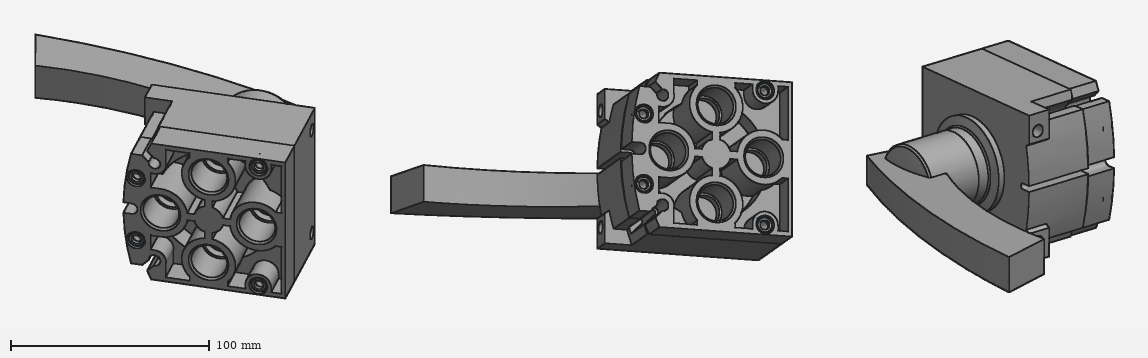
import cadquery as cq
import math


block_right = 40.1
block_half_height = 40.0
front_depth = 17.2
block_back = 55.8
joint_overlap = 1.7

side_corner_x = -40.6
shelf_z = 32.2
notch_foot_x = -33.5
front_side_x = -44.7
front_notch_x = -30.0
housing_side_x = -45.2
housing_notch_x = -31.0

port_offset = 25.1
port_dia = 18.7
port_seat_dia = 16.4
port_mouth_dia = 20.9
port_depth = 20.2
port_seat_depth = 25.3
boss_dia = 28.2
post_dia = 15.5
web_half_width = 2.0
outer_web_half_width = 10.0
pocket_top = 37.5
pocket_right = 38.1
pocket_left = -30.3
pocket_corner_left = -22.5
pocket_depth = 14.2
well_dia = 62.7
well_depth = 27.0

spigot_dia = 72.8
spigot_end = 30.3

left_screw_x, left_screw_z = -38.1, 18.2
right_screw_x, right_screw_z = 26.0, 34.7
screw_boss_dia = 13.5
counterbore_dia = 9.5
counterbore_depth = 5.5
head_dia = 8.5
head_rim_dia = 7.5
head_recess = 0.8
socket_dia = 4.9
socket_depth = 2.5

corner_slot_x, corner_slot_z = -28.3, 28.5
front_slot_neck = 3.9
slot_neck_length = 10.1
slot_wall_radius = 6.0
front_slot_dia = 6.0
housing_corner_slot_end = 39.0
side_slot_x = -40.3
housing_slot_width = 3.2

ear_left = -45.2
ear_front = 42.8
ear_low_z = 24.3
ear_root_x = -42.2
ear_root_z = 22.3
ear_hole_dia = 6.5
ear_hole_y = 50.0
ear_hole_z = 30.2

collar_dia = 51.6
collar_foot_dia = 51.0
collar_rim = 59.7
collar_top = 61.0
collar_top_dia = 43.2
neck_top = 68.0
neck_fillet = 0.8

hub_dia = 40.0
hub_shoulder = 97.3
hub_top_dia = 38.1
hub_top = 98.5
dome_top = 101.0
handle_tip = (-128.5, 136.5)
handle_tip_half_width = 9.6
handle_tail_half_width = 8.0
tail_corner = (26.3, 103.2)
tail_foot_x = 22.0
tail_foot_y = 78.5
upper_arc_middle = (-51.0, 127.3)
lower_tip = (-120.5, 107.2)
lower_arc_middle = (-68.6, 104.4)
lower_arc_end = (-18.9, 88.0)

PORTS = [(-port_offset, 0), (port_offset, 0), (0, -port_offset), (0, port_offset)]
LEFT_SCREWS = [(left_screw_x, side * left_screw_z) for side in (-1, 1)]
RIGHT_SCREWS = [(right_screw_x, side * right_screw_z) for side in (-1, 1)]


def plane_at(y):
    """Sketch plane at depth y with local axes X and Z and its normal towards -Y."""
    return cq.Workplane(cq.Plane(origin=(0, y, 0), xDir=(1, 0, 0), normal=(0, -1, 0)))


def disc(x, z, diameter, start, end):
    """Cylinder along Y between the depths start and end."""
    return plane_at(start).center(x, z).circle(diameter / 2).extrude(start - end)


def slab(x0, x1, z0, z1, start, end):
    """Box between the depths start and end."""
    outline = plane_at(start).center((x0 + x1) / 2, (z0 + z1) / 2).rect(x1 - x0, z1 - z0)
    return outline.extrude(start - end)


def block(side_x, notch_x, start, end):
    """Block with a bowed left side and a notch at each left corner."""
    return (
        plane_at(start)
        .moveTo(block_right, -block_half_height)
        .lineTo(block_right, block_half_height)
        .lineTo(notch_x, block_half_height)
        .lineTo(notch_foot_x, shelf_z)
        .lineTo(side_corner_x, shelf_z)
        .threePointArc((side_x, 0), (side_corner_x, -shelf_z))
        .lineTo(notch_foot_x, -shelf_z)
        .lineTo(notch_x, -block_half_height)
        .close()
        .extrude(start - end)
    )


def corner_slots(diameter, neck_width, start, end):
    """Round-ended slots that run in at 45 degrees from both left corner notches."""
    slots = cq.Workplane()
    for side in (-1, 1):
        neck = (
            plane_at(start)
            .center(corner_slot_x, side * corner_slot_z)
            .transformed(rotate=(0, 0, -side * 45))
            .center(-slot_neck_length / 2, 0)
            .rect(slot_neck_length, neck_width)
            .extrude(start - end)
        )
        seat = disc(corner_slot_x, side * corner_slot_z, diameter, start, end)
        slots = slots.add(seat.union(neck))
    return slots.combine()


def side_slot(width, start, end):
    """Round-ended slot in the middle of the bowed left side."""
    mouth = slab(housing_side_x - width, side_slot_x, -width / 2, width / 2, start, end)
    return disc(side_slot_x, 0, width, start, end).union(mouth)


def webs(depth):
    """Thin webs join the post to the port bosses, broad webs join the bosses to the outer walls."""
    thin, broad, tangent = web_half_width, outer_web_half_width, boss_dia / 2
    ribs = slab(-port_offset, port_offset, -thin, thin, 0, depth)
    ribs = ribs.union(slab(-thin, thin, -port_offset, port_offset, 0, depth))
    ribs = ribs.union(slab(pocket_left, -port_offset, -tangent, tangent, 0, depth))
    ribs = ribs.union(slab(port_offset, pocket_right, -broad, broad, 0, depth))
    for side in (-1, 1):
        lowest, highest = sorted((side * port_offset, side * pocket_top))
        ribs = ribs.union(slab(-broad, broad, lowest, highest, 0, depth))
    return ribs


def pocket_area(depth):
    """Hollow between the ports, from the front face to the given depth."""
    tall = slab(pocket_corner_left, pocket_right, -pocket_top, pocket_top, 0, depth)
    slot_wall_z = corner_slot_z - slot_wall_radius
    low = slab(pocket_left, 0, -corner_slot_z, corner_slot_z, 0, depth)
    area = tall.union(low)
    for side in (-1, 1):
        z = side * corner_slot_z
        area = area.cut(disc(corner_slot_x, z, 2 * slot_wall_radius, 0, depth))
        lowest, highest = sorted((side * slot_wall_z, z))
        area = area.cut(slab(pocket_left, corner_slot_x, lowest, highest, 0, depth))
    for x, z in PORTS:
        area = area.cut(disc(x, z, boss_dia, 0, depth))
    area = area.cut(disc(0, 0, post_dia, 0, depth))
    return area.cut(webs(depth))


def screw_bosses():
    """Round bosses for the right screws, linked straight to the outer walls."""
    bosses = cq.Workplane()
    radius = screw_boss_dia / 2
    for x, z in RIGHT_SCREWS:
        lowest, highest = sorted((z, math.copysign(pocket_top, z)))
        link = slab(x - radius, x + radius, lowest, highest, 0, pocket_depth)
        bosses = bosses.add(disc(x, z, screw_boss_dia, 0, pocket_depth).union(link))
    return bosses.combine()


def screw_recess(x, z):
    """Gap around a chamfered screw head, and the socket in it, as one cutter."""
    chamfer = (head_dia - head_rim_dia) / 2
    around = disc(x, z, counterbore_dia, 0, counterbore_depth)
    head = disc(x, z, head_dia, head_recess, counterbore_depth).faces("<Y").chamfer(chamfer)
    socket_end = head_recess + socket_depth
    socket = (
        cq.Workplane("XY")
        .moveTo(0, head_recess)
        .lineTo(socket_dia / 2, head_recess)
        .lineTo(socket_dia / 2, socket_end)
        .lineTo(0, socket_end + socket_dia / 2)
        .close()
        .revolve(360, (0, 0, 0), (0, 1, 0))
        .translate((x, 0, z))
    )
    return around.cut(head).union(socket)


def port_hole(x, z):
    """Blind stepped port with a 45 degree countersunk mouth."""
    countersink = (port_mouth_dia - port_dia) / 2
    return (
        cq.Workplane("XY")
        .lineTo(port_mouth_dia / 2, 0)
        .lineTo(port_dia / 2, countersink)
        .lineTo(port_dia / 2, port_depth)
        .lineTo(port_seat_dia / 2, port_depth)
        .lineTo(port_seat_dia / 2, port_seat_depth)
        .lineTo(0, port_seat_depth)
        .close()
        .revolve(360, (0, 0, 0), (0, 1, 0))
        .translate((x, 0, z))
    )


def make_port_block():
    body = block(front_side_x, front_notch_x, 0, front_depth)
    body = body.cut(corner_slots(front_slot_dia, front_slot_neck, 0, front_depth))
    body = body.cut(side_slot(front_slot_dia, 0, front_depth))
    body = body.union(disc(0, 0, spigot_dia, front_depth - joint_overlap, spigot_end))

    shallow = pocket_area(pocket_depth).cut(screw_bosses())
    well = pocket_area(well_depth).intersect(disc(0, 0, well_dia, 0, well_depth))
    body = body.cut(shallow).cut(well)

    for x, z in PORTS:
        body = body.cut(port_hole(x, z))
    for x, z in LEFT_SCREWS + RIGHT_SCREWS:
        body = body.cut(screw_recess(x, z))
    return body


def mounting_ears():
    """Ears that fill the left corner notches at the back of the housing."""
    ears = cq.Workplane()
    for side in (-1, 1):
        ear = (
            plane_at(ear_front)
            .moveTo(housing_notch_x, side * block_half_height)
            .lineTo(ear_left, side * block_half_height)
            .lineTo(ear_left, side * ear_low_z)
            .lineTo(ear_root_x, side * ear_root_z)
            .lineTo(housing_notch_x, side * ear_root_z)
            .close()
            .extrude(ear_front - block_back)
        )
        ears = ears.add(ear)
    return ears.combine()


def collar():
    """Slightly flared collar with a filleted neck that carries the handle hub."""
    neck_radius = hub_dia / 2
    fillet_end = collar_top + neck_fillet
    return (
        cq.Workplane("XY")
        .moveTo(0, block_back - joint_overlap)
        .lineTo(collar_foot_dia / 2, block_back - joint_overlap)
        .lineTo(collar_foot_dia / 2, block_back)
        .lineTo(collar_dia / 2, collar_rim)
        .lineTo(collar_top_dia / 2, collar_top)
        .lineTo(neck_radius + neck_fillet, collar_top)
        .radiusArc((neck_radius, fillet_end), -neck_fillet)
        .lineTo(neck_radius, neck_top)
        .lineTo(0, neck_top)
        .close()
        .revolve(360, (0, 0, 0), (0, 1, 0))
    )


def make_housing():
    slot = housing_slot_width
    body = block(housing_side_x, housing_notch_x, front_depth, block_back)
    body = body.cut(corner_slots(slot, slot, front_depth, housing_corner_slot_end))
    body = body.union(mounting_ears()).union(collar())
    body = body.cut(side_slot(slot, front_depth, block_back))
    body = body.cut(disc(0, 0, spigot_dia, front_depth, spigot_end))
    for side in (-1, 1):
        hole = (
            cq.Workplane("YZ", origin=(ear_left, 0, 0))
            .center(ear_hole_y, side * ear_hole_z)
            .circle(ear_hole_dia / 2)
            .extrude(block_right - ear_left)
        )
        body = body.cut(hole)
    return body


def hub():
    """Round hub with a chamfered rim and a shallow domed end."""
    dome_middle = (hub_top_dia / 4, hub_top + 0.75 * (dome_top - hub_top))
    return (
        cq.Workplane("XY")
        .moveTo(0, neck_top)
        .lineTo(hub_dia / 2, neck_top)
        .lineTo(hub_dia / 2, hub_shoulder)
        .lineTo(hub_top_dia / 2, hub_top)
        .threePointArc(dome_middle, (0, dome_top))
        .close()
        .revolve(360, (0, 0, 0), (0, 1, 0))
    )


def lever():
    """Curved lever whose width narrows from its tip towards the hub."""
    full_width = 2 * handle_tip_half_width
    side_shape = (
        cq.Workplane("XY", origin=(0, 0, -full_width / 2))
        .moveTo(*handle_tip)
        .threePointArc(upper_arc_middle, tail_corner)
        .lineTo(tail_foot_x, tail_foot_y)
        .lineTo(0, tail_foot_y)
        .lineTo(*lower_arc_end)
        .threePointArc(lower_arc_middle, lower_tip)
        .close()
        .extrude(full_width)
    )
    taper = (
        plane_at(neck_top)
        .moveTo(handle_tip[0], handle_tip_half_width)
        .lineTo(tail_corner[0], handle_tail_half_width)
        .lineTo(tail_corner[0], -handle_tail_half_width)
        .lineTo(handle_tip[0], -handle_tip_half_width)
        .close()
        .extrude(neck_top - handle_tip[1])
    )
    return side_shape.intersect(taper)


def make_handle():
    return hub().union(lever())


port_block = make_port_block().solids()
housing = make_housing().solids()
handle = make_handle().solids()
result = cq.Compound.makeCompound([port_block.val(), housing.val(), handle.val()])